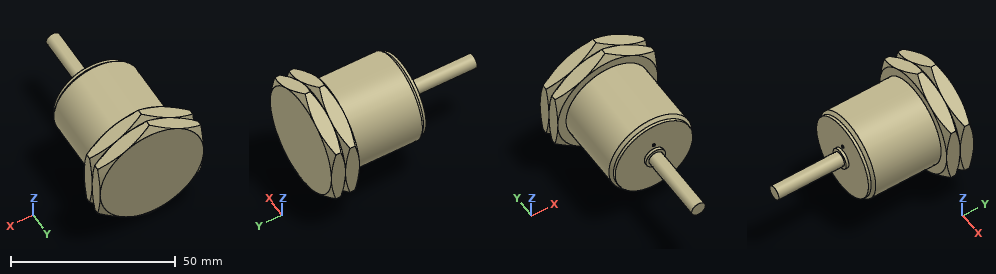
import cadquery as cq
import math

total_length = 61.0
nut_across_flats = 36.0
nut_thickness = 5.0
nut_count = 2
nut_chamfer_angle = 30.0
body_diameter = 30.0
body_length = 36.0
nose_diameter = 28.0
nose_length = 1.0
nose_chamfer = (body_diameter - nose_diameter) / 2
collar_diameter = 7.0
collar_length = 1.0
cable_diameter = 5.0
indicator_diameter = 1.0
indicator_offset = 5.0
indicator_depth = 0.25

nut_across_corners = nut_across_flats / math.cos(math.radians(30))
body_end = -body_length


def cylinder(diameter, start, end):
    """Cylinder on the part axis, from Y = start down to Y = end."""
    plane = cq.Workplane("XZ", origin=(0, start, 0))
    return plane.circle(diameter / 2).extrude(start - end)


def hex_nut(start):
    """Hex nut with corners on Z and conical chamfers on both faces."""
    plane = cq.Workplane("XZ", origin=(0, start, 0))
    prism = plane.polygon(6, nut_across_corners).extrude(nut_thickness)
    prism = prism.rotate((0, 0, 0), (0, 1, 0), 90)
    face_radius = nut_across_flats / 2
    outer_radius = nut_across_corners / 2 + 0.6
    drop = (outer_radius - face_radius) * math.tan(math.radians(nut_chamfer_angle))
    end = start - nut_thickness
    envelope = (
        cq.Workplane("XY")
        .polyline([
            (0, start),
            (face_radius, start),
            (outer_radius, start - drop),
            (outer_radius, end + drop),
            (face_radius, end),
            (0, end),
        ])
        .close()
        .revolve(360, (0, 0, 0), (0, 1, 0))
    )
    return prism.intersect(envelope)


body = cylinder(body_diameter, 0, body_end + nose_length)
body = body.faces("<Y").chamfer(nose_chamfer)
result = body.union(cylinder(nose_diameter, 0, body_end))

result = result.union(cylinder(collar_diameter, body_end, body_end - collar_length))
result = result.union(cylinder(cable_diameter, body_end, -total_length))

for index in range(nut_count):
    result = result.union(hex_nut(-index * nut_thickness))

indicator = cylinder(indicator_diameter, body_end + indicator_depth, body_end)
result = result.cut(indicator.translate((0, 0, indicator_offset)))